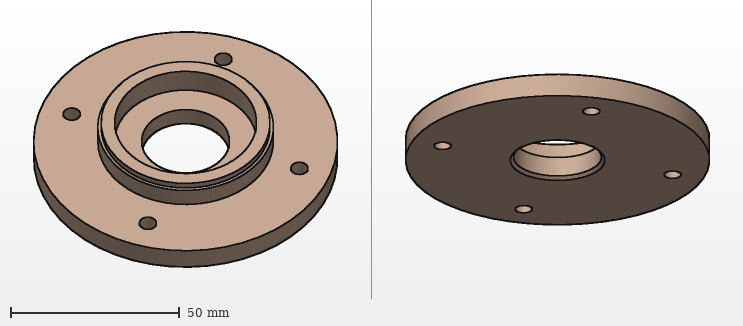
import cadquery as cq

flange_diameter = 90.0
flange_thickness = 7.0

hub_diameter = 52.0
hub_height = 6.0
lip_diameter = 50.0
lip_height = 2.0
total_height = flange_thickness + hub_height + lip_height

seat_diameter = 42.0
seat_depth = 8.0
bore_diameter = 26.0
bore_chamfer = 1.0

bolt_hole_diameter = 5.0
bolt_circle_diameter = 71.0
bolt_count = 4


def disc(diameter, bottom, height):
    """Solid cylinder about the Z axis, starting at height `bottom`."""
    return cq.Workplane("XY").workplane(offset=bottom).circle(diameter / 2).extrude(height)


flange = disc(flange_diameter, 0, flange_thickness)
hub = disc(hub_diameter, flange_thickness, hub_height)
lip = disc(lip_diameter, flange_thickness + hub_height, lip_height)
body = flange.union(hub).union(lip)

seat = disc(seat_diameter, total_height - seat_depth, seat_depth)
bore = disc(bore_diameter, 0, total_height)

chamfer_cone = (
    cq.Workplane("XY")
    .circle(bore_diameter / 2 + bore_chamfer)
    .workplane(offset=bore_chamfer)
    .circle(bore_diameter / 2)
    .loft(ruled=True)
)

bolt_holes = (
    cq.Workplane("XY")
    .polarArray(bolt_circle_diameter / 2, 0, 360, bolt_count)
    .circle(bolt_hole_diameter / 2)
    .extrude(flange_thickness)
)

result = body.cut(seat).cut(bore).cut(chamfer_cone).cut(bolt_holes)